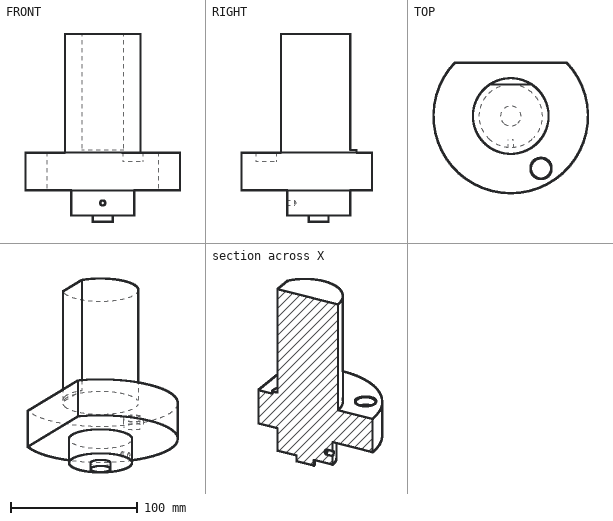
import cadquery as cq
import math

pin_diameter = 16.0
pin_height = 5.0
spigot_diameter = 50.0
spigot_height = 20.0
flange_diameter = 122.6
flange_height = 30.0
flange_width_y = 103.7
flange_flat_y = flange_width_y - flange_diameter / 2
total_height = 149
column_diameter = 60.0
column_flat_y = spigot_diameter / 2
collar_height = 2.1

pocket_diameter = 16.0
pocket_depth = 7.0
pocket_chamfer = 0.52
pocket_pitch_radius = 48.0
pocket_angle = -60

side_hole_diameter = 4.0
side_hole_depth = 6
drill_tip_angle = 118

spigot_bottom = pin_height
flange_bottom = spigot_bottom + spigot_height
flange_top = flange_bottom + flange_height
collar_top = flange_top + collar_height


def cylinder(diameter, bottom, top):
    return cq.Workplane("XY").workplane(offset=bottom).circle(diameter / 2).extrude(top - bottom)


def flatted_cylinder(diameter, flat_y, bottom, top):
    """Vertical cylinder cut by a flat facing +Y."""
    radius = diameter / 2
    half_chord = math.sqrt(radius**2 - flat_y**2)
    return (
        cq.Workplane("XY").workplane(offset=bottom)
        .moveTo(-half_chord, flat_y)
        .threePointArc((0, -radius), (half_chord, flat_y))
        .close()
        .extrude(top - bottom)
    )


def flange_pocket():
    """Blind round pocket with a chamfered rim."""
    radius = pocket_diameter / 2
    angle = math.radians(pocket_angle)
    profile = [
        (0, -pocket_depth),
        (radius, -pocket_depth),
        (radius, -pocket_chamfer),
        (radius + pocket_chamfer, 0),
        (0, 0),
    ]
    cutter = cq.Workplane("XZ").polyline(profile).close().revolve(360, (0, 0), (0, 1))
    return cutter.translate(
        (pocket_pitch_radius * math.cos(angle), pocket_pitch_radius * math.sin(angle), flange_top)
    )


def side_hole():
    """Drilled hole with a conical end, entering the spigot from -Y at mid height."""
    radius = side_hole_diameter / 2
    tip_length = radius / math.tan(math.radians(drill_tip_angle / 2))
    entry_y = -spigot_diameter / 2
    end_y = entry_y + side_hole_depth
    profile = [(0, entry_y), (radius, entry_y), (radius, end_y), (0, end_y + tip_length)]
    cutter = cq.Workplane("XY").polyline(profile).close().revolve(360, (0, 0), (0, 1))
    return cutter.translate((0, 0, spigot_bottom + spigot_height / 2))


body = (
    cylinder(pin_diameter, 0, spigot_bottom)
    .union(cylinder(spigot_diameter, spigot_bottom, flange_bottom))
    .union(flatted_cylinder(flange_diameter, flange_flat_y, flange_bottom, flange_top))
    .union(cylinder(column_diameter, flange_top, collar_top))
    .union(flatted_cylinder(column_diameter, column_flat_y, collar_top, total_height))
)

result = body.cut(flange_pocket()).cut(side_hole())